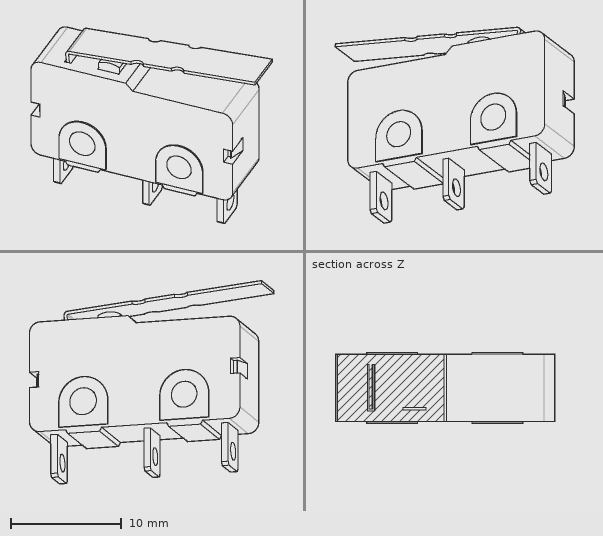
import math

import cadquery as cq


body_left = -5.1
body_length = 19.8
body_right = body_left + body_length
body_bottom = -2.5
body_top = 7.7
step_drop = 0.7
step_start_x = 4.2
body_thickness = 6.1
corner_radius = 1.0

hole_spacing = 9.5
mounting_holes = [(0.0, 2.5), (hole_spacing, 2.4)]
overall_thickness = 6.4
pad_radius = 2.3
pad_bottom = -2.25

foot_base_width = 3.4
foot_tip_width = 3.0
foot_height = 0.35

notch_bottom = 1.66
notch_top = 3.08
notch_depth = 0.87
hook_tip_depth = 0.52
hook_tip_y = -2.26
hook_root_y = -2.05
hook_ramp_end_y = -0.67

lever_width = 4.0
lever_center_y = 0.1
lever_slot_front_y = -2.07
plunger_slot_front_y = -1.97
slot_back_y = lever_center_y + lever_width / 2
slot_depth = 1.0
lever_slot_left = -2.2
lever_slot_length = 0.62

plunger_left = 1.0
plunger_length = 2.05
plunger_front_y = -1.77
plunger_shoulder_z = 8.25
plunger_crown_z = 8.5

lever_angle = 5.0
lever_thickness = 0.3
lever_bend_radius = 0.4
lever_corner_x = -2.22
lever_embedment = 0.2
lever_reach_x = 16.42
lever_tip_z = 10.4
lever_notch_radius = 0.7
lever_notch_offset = 0.34
lever_notch_xs = [4.83, 8.8]

terminals = [(-3.2, 0.65), (5.55, 0.6), (12.85, 0.65)]
terminal_width = 3.2
terminal_bottom = -6.4
terminal_chamfer = 0.3
terminal_hole_diameter = 1.6
terminal_hole_z = -4.8


def prism_along_y(sketch, thickness, center_y=0.0):
    """Extrude an XZ outline symmetrically about the plane y = center_y."""
    return sketch.extrude(thickness / 2, both=True).translate((0, center_y, 0))


def make_top_slot(left, length, front_y):
    """Blind rectangular slot sunk into the top face."""
    slot = cq.Workplane("XY").box(length, slot_back_y - front_y, slot_depth, centered=False)
    return slot.translate((left, front_y, body_top - slot_depth))


def make_housing():
    step_top = body_top - step_drop
    outline = (
        cq.Workplane("XZ")
        .moveTo(body_left, body_bottom)
        .lineTo(body_right, body_bottom)
        .lineTo(body_right, step_top)
        .lineTo(step_start_x + step_drop, step_top)
        .lineTo(step_start_x, body_top)
        .lineTo(body_left, body_top)
        .close()
    )
    housing = prism_along_y(outline, body_thickness)
    end_corners = housing.edges("|Y").edges("<X or >X")
    return end_corners.fillet(corner_radius)


def make_pad(x):
    outline = (
        cq.Workplane("XZ")
        .moveTo(x - pad_radius, pad_bottom)
        .lineTo(x + pad_radius, pad_bottom)
        .lineTo(x + pad_radius, 0)
        .threePointArc((x, pad_radius), (x - pad_radius, 0))
        .close()
    )
    return prism_along_y(outline, overall_thickness)


def make_foot(x):
    outline = (
        cq.Workplane("XZ")
        .moveTo(x - foot_base_width / 2, body_bottom)
        .lineTo(x - foot_tip_width / 2, body_bottom - foot_height)
        .lineTo(x + foot_tip_width / 2, body_bottom - foot_height)
        .lineTo(x + foot_base_width / 2, body_bottom)
        .close()
    )
    return prism_along_y(outline, body_thickness)


def make_mounting_hole(x, diameter):
    circle = cq.Workplane("XZ").center(x, 0).circle(diameter / 2)
    return prism_along_y(circle, overall_thickness)


def make_snap_notch(end_x, inward):
    """Notch open to the end and the front, leaving a ramped hook inside it."""
    front_y = -body_thickness / 2
    return (
        cq.Workplane("XY", origin=(0, 0, notch_bottom))
        .moveTo(end_x, front_y)
        .lineTo(end_x + inward * notch_depth, front_y)
        .lineTo(end_x + inward * notch_depth, hook_root_y)
        .lineTo(end_x + inward * hook_tip_depth, hook_root_y)
        .lineTo(end_x + inward * hook_tip_depth, hook_tip_y)
        .lineTo(end_x, hook_ramp_end_y)
        .close()
        .extrude(notch_top - notch_bottom)
    )


def make_plunger():
    right = plunger_left + plunger_length
    crown = (plunger_left + plunger_length / 2, plunger_crown_z)
    outline = (
        cq.Workplane("XZ")
        .moveTo(plunger_left, body_top - slot_depth)
        .lineTo(right, body_top - slot_depth)
        .lineTo(right, plunger_shoulder_z)
        .threePointArc(crown, (plunger_left, plunger_shoulder_z))
        .close()
    )
    width = slot_back_y - plunger_front_y
    return prism_along_y(outline, width, plunger_front_y + width / 2)


def make_lever():
    """L-shaped strip, drawn level with its outer corner at the origin, then tilted."""
    angle = math.radians(lever_angle)
    tip_x = lever_reach_x - lever_thickness * math.sin(angle)
    arm_length = (tip_x - lever_corner_x) / math.cos(angle)
    corner_z = lever_tip_z - arm_length * math.sin(angle)
    leg_bottom = body_top - slot_depth - lever_embedment
    leg_length = (corner_z - leg_bottom) / math.cos(angle)
    inner_radius = lever_bend_radius - lever_thickness
    outline = (
        cq.Workplane("XZ")
        .lineTo(arm_length, 0)
        .lineTo(arm_length, -lever_thickness)
        .lineTo(lever_thickness, -lever_thickness)
        .lineTo(lever_thickness, -leg_length)
        .lineTo(0, -leg_length)
        .close()
    )
    lever = prism_along_y(outline, lever_width)
    outer_corner = (0, 0, 0)
    lever = lever.edges(cq.selectors.NearestToPointSelector(outer_corner)).fillet(lever_bend_radius)
    inner_corner = (lever_thickness, 0, -lever_thickness)
    lever = lever.edges(cq.selectors.NearestToPointSelector(inner_corner)).fillet(inner_radius)

    notch_y = lever_width / 2 + lever_notch_offset
    notch_centers = []
    for x in lever_notch_xs:
        distance = (x - lever_corner_x) / math.cos(angle)
        notch_centers += [(distance, notch_y), (distance, -notch_y)]
    notches = cq.Workplane("XY").pushPoints(notch_centers).circle(lever_notch_radius)
    lever = lever.cut(notches.extrude(lever_thickness, both=True))

    lever = lever.rotate((0, 0, 0), (0, 1, 0), -lever_angle)
    return lever.translate((lever_corner_x, lever_center_y, corner_z))


def make_terminal(x, thickness):
    height = body_bottom - terminal_bottom
    blade = (
        cq.Workplane("XY")
        .box(thickness, terminal_width, height)
        .translate((x, 0, terminal_bottom + height / 2))
        .edges("|X and <Z")
        .chamfer(terminal_chamfer)
    )
    hole = (
        cq.Workplane("YZ", origin=(x, 0, terminal_hole_z))
        .circle(terminal_hole_diameter / 2)
        .extrude(thickness, both=True)
    )
    return blade.cut(hole)


result = make_housing()

for hole_x, hole_diameter in mounting_holes:
    result = result.union(make_pad(hole_x)).union(make_foot(hole_x))
    result = result.cut(make_mounting_hole(hole_x, hole_diameter))

result = result.cut(make_snap_notch(body_left, 1))
result = result.cut(make_snap_notch(body_right, -1))

result = result.cut(make_top_slot(lever_slot_left, lever_slot_length, lever_slot_front_y))
result = result.cut(make_top_slot(plunger_left, plunger_length, plunger_slot_front_y))

result = result.union(make_plunger()).union(make_lever())

for terminal_x, terminal_thickness in terminals:
    result = result.union(make_terminal(terminal_x, terminal_thickness))